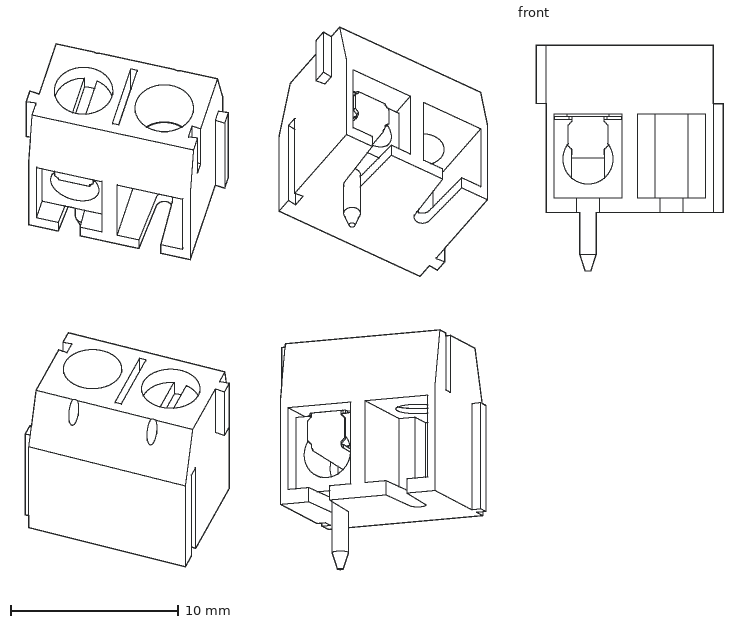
import cadquery as cq
import math


overall_width = 11.2
housing_width = 10.0
housing_depth = 7.5
housing_height = 10.0
shoulder_height = 6.51
roof_front_y = 0.75
roof_back_y = 6.26

pole_pitch = 5.0
pole_y = 3.31
pole_x = (-pole_pitch / 2, pole_pitch / 2)

chamber_width = 4.05
chamber_floor = 0.88
chamber_top = 5.89
chamber_back_y = pole_y + chamber_width / 2
groove_width = 2.0
back_wall = 0.5
groove_back_y = housing_depth - back_wall

pin_diameter = 1.0
floor_slot_mouth = 1.35

well_diameter = 3.5
shank_diameter = 2.5
seat_top_diameter = 3.4
seat_bottom_diameter = 2.59
seat_height = (seat_top_diameter - seat_bottom_diameter) / 2
seat_top = chamber_top + seat_height

probe_hole_diameter = 0.6
probe_hole_y = 6.52

marker_slot_width = 0.4
marker_slot_front_y = 1.4
marker_slot_back_y = 5.62
marker_slot_depth = 2.0

dovetail_reach = (overall_width - housing_width) / 2
dovetail_groove_depth = 0.55
dovetail_root = 0.7
dovetail_tip = 0.84
front_dovetail_y = 2.04
back_dovetail_y = 6.1

cage_size = chamber_width
cage_top = 5.55
bore_diameter = 3.0
bore_z = 3.2
pin_length = 3.5
pin_taper = 1.0
pin_tip_diameter = 0.35

sheet = 0.2
bend_radius = 0.3
guard_disc_diameter = 4.0
guard_tab_width = 2.3
guard_plate_width = 2.38
guard_neck_width = 1.92
guard_front_y = pole_y - cage_size / 2 - sheet
guard_plate_bottom = 3.75
guard_flange_y = 6.37
guard_flange_top = 3.27
guard_flange_bottom = 1.35
guard_top = cage_top + sheet

head_top = 9.05
head_fillet = 0.2
screw_slot_width = 0.8
screw_slot_depth = 1.0
screw_bottom = 4.32


def block(x_mid, width, y_range, z_range):
    """Box given by its middle and width in X and its limits in Y and Z."""
    depth = y_range[1] - y_range[0]
    height = z_range[1] - z_range[0]
    box = cq.Workplane("XY").box(width, depth, height, centered=(True, False, False))
    return box.translate((x_mid, y_range[0], z_range[0]))


def rod(x, y, diameter, z_range):
    """Vertical cylinder."""
    disc = cq.Workplane("XY").circle(diameter / 2).extrude(z_range[1] - z_range[0])
    return disc.translate((x, y, z_range[0]))


def cone(x, y, bottom_diameter, top_diameter, z_range):
    """Vertical truncated cone."""
    solid = cq.Solid.makeCone(bottom_diameter / 2, top_diameter / 2, z_range[1] - z_range[0])
    return cq.Workplane(solid).translate((x, y, z_range[0]))


def dovetail(face_x, reach, y_mid, z_range):
    """Dovetail bar that starts at face_x and widens over its reach towards -X."""
    points = [
        (face_x, y_mid - dovetail_root / 2),
        (face_x, y_mid + dovetail_root / 2),
        (face_x - reach, y_mid + dovetail_tip / 2),
        (face_x - reach, y_mid - dovetail_tip / 2),
    ]
    bar = cq.Workplane("XY").polyline(points).close().extrude(z_range[1] - z_range[0])
    return bar.translate((0, 0, z_range[0]))


def screw_seat(x):
    """Conical seat at the bottom of the screw well."""
    return cone(x, pole_y, seat_bottom_diameter, seat_top_diameter, (chamber_top, seat_top))


def floor_slot(x):
    """Pin slot: round at the pin, widening to its mouth at the front face."""
    radius = pin_diameter / 2
    return (
        cq.Workplane("XY")
        .moveTo(x - floor_slot_mouth / 2, 0)
        .lineTo(x + floor_slot_mouth / 2, 0)
        .lineTo(x + radius, pole_y)
        .threePointArc((x, pole_y + radius), (x - radius, pole_y))
        .close()
        .extrude(chamber_floor)
    )


def pole_cavity(x):
    """Everything hollow at one pole: chamber, groove, pin slot, screw well and probe hole."""
    chamber_z = (chamber_floor, chamber_top)
    cavity = block(x, chamber_width, (0, chamber_back_y), chamber_z)
    cavity = cavity.union(block(x, groove_width, (chamber_back_y, groove_back_y), chamber_z))
    cavity = cavity.union(floor_slot(x))
    cavity = cavity.union(screw_seat(x))
    cavity = cavity.union(rod(x, pole_y, well_diameter, (seat_top, housing_height)))
    return cavity.union(rod(x, probe_hole_y, probe_hole_diameter, (chamber_top, housing_height)))


def make_housing():
    profile = [
        (0, 0),
        (housing_depth, 0),
        (housing_depth, shoulder_height),
        (roof_back_y, housing_height),
        (roof_front_y, housing_height),
        (0, shoulder_height),
    ]
    body = cq.Workplane("YZ").polyline(profile).close().extrude(housing_width / 2, both=True)

    side_x = housing_width / 2
    lower = (0, shoulder_height)
    upper = (shoulder_height, housing_height)
    left_rib = dovetail(-side_x, dovetail_reach, front_dovetail_y, upper)
    right_rib = dovetail(-side_x, dovetail_reach, back_dovetail_y, lower).mirror("YZ")
    right_groove = dovetail(side_x, dovetail_groove_depth, front_dovetail_y, upper)
    left_groove = dovetail(side_x, dovetail_groove_depth, back_dovetail_y, lower).mirror("YZ")
    body = body.union(left_rib).union(right_rib)
    body = body.cut(right_groove).cut(left_groove)

    for x in pole_x:
        body = body.cut(pole_cavity(x))

    marker_slot = block(
        0,
        marker_slot_width,
        (marker_slot_front_y, marker_slot_back_y),
        (housing_height - marker_slot_depth, housing_height),
    )
    return body.cut(marker_slot)


def make_terminal(x):
    """Cage with a wire bore, a screw hole in its roof and a pointed pin below."""
    y_range = (pole_y - cage_size / 2, pole_y + cage_size / 2)
    cage = block(x, cage_size, y_range, (chamber_floor, cage_top))
    bore = cq.Workplane("XZ").center(x, bore_z).circle(bore_diameter / 2).extrude(-housing_depth)
    cage = cage.cut(bore)
    cage = cage.cut(rod(x, pole_y, shank_diameter, (bore_z, cage_top)))
    taper_top = pin_taper - pin_length
    pin = rod(x, pole_y, pin_diameter, (taper_top, chamber_floor))
    point = cone(x, pole_y, pin_tip_diameter, pin_diameter, (-pin_length, taper_top))
    return cage.union(pin).union(point)


def make_wire_guard(x):
    """Bent sheet: disc on the cage, plate down its front, tongue through the bore, rear flange."""
    plate_back_y = guard_front_y + sheet
    diagonal = math.sqrt(0.5)
    bend_y = guard_front_y + bend_radius
    plate_top = guard_top - bend_radius

    tongue_start = guard_plate_bottom - bend_radius
    flange_front_y = guard_flange_y - sheet

    top_bend = (
        cq.Workplane("YZ")
        .moveTo(guard_front_y, plate_top)
        .threePointArc(
            (bend_y - bend_radius * diagonal, plate_top + bend_radius * diagonal),
            (bend_y, guard_top),
        )
        .lineTo(bend_y, cage_top)
        .lineTo(plate_back_y, cage_top)
        .lineTo(plate_back_y, plate_top)
        .close()
        .extrude(guard_neck_width / 2, both=True)
    )
    low_bend = top_bend.mirror("XY").translate((0, 0, plate_top + guard_plate_bottom))

    plate_z = (guard_plate_bottom, plate_top)
    plate = block(0, guard_plate_width, (guard_front_y, plate_back_y), plate_z)
    plate = plate.edges("|Y").chamfer((guard_plate_width - guard_neck_width) / 2)

    tongue_points = [
        (bend_y, tongue_start),
        (flange_front_y, guard_flange_top),
        (flange_front_y, guard_flange_bottom),
        (guard_flange_y, guard_flange_bottom),
    ]
    flange_bend_z = guard_flange_top + sheet - bend_radius
    tongue = (
        cq.Workplane("YZ")
        .polyline(tongue_points)
        .lineTo(guard_flange_y, flange_bend_z)
        .threePointArc(
            (
                guard_flange_y - bend_radius * (1 - diagonal),
                flange_bend_z + bend_radius * diagonal,
            ),
            (guard_flange_y - bend_radius, guard_flange_top + sheet),
        )
        .lineTo(bend_y, tongue_start + sheet)
        .close()
        .extrude(groove_width / 2, both=True)
    )

    disc = rod(0, pole_y, guard_disc_diameter, (cage_top, guard_top))
    tab = block(0, guard_tab_width, (bend_y, pole_y), (cage_top, guard_top))
    disc = disc.union(tab).cut(rod(0, pole_y, shank_diameter, (cage_top, guard_top)))

    guard = disc.union(top_bend).union(plate).union(low_bend).union(tongue)
    return guard.translate((x, 0, 0))


def make_screw(x):
    """Slotted countersunk screw with a rounded rim."""
    head = rod(x, pole_y, well_diameter, (seat_top, head_top))
    head = head.faces(">Z").edges().fillet(head_fillet)
    shank = rod(x, pole_y, shank_diameter, (screw_bottom, chamber_top))
    slot = block(x, screw_slot_width, (0, housing_depth), (head_top - screw_slot_depth, head_top))
    return head.union(screw_seat(x)).union(shank).cut(slot)


fitted_x = pole_x[0]
housing = make_housing()
terminal = make_terminal(fitted_x)
wire_guard = make_wire_guard(fitted_x)
screw = make_screw(fitted_x)

bodies = [housing, terminal, wire_guard, screw]
result = cq.Compound.makeCompound([body.solids().val() for body in bodies])